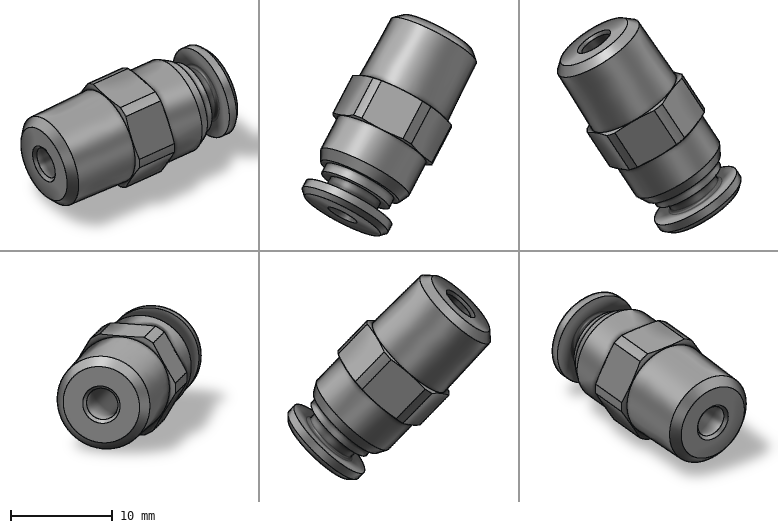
import cadquery as cq
import math

length = 20.5

thread_tip_radius = 3.9
thread_start_radius = 4.74
thread_root_radius = 4.9
thread_chamfer_length = 0.8

hex_start = 7.52
hex_end = 12.01
hex_across_flats = 10.0
hex_corner_diameter = 10.99
hex_edge_radius = 4.98
hex_edge_chamfer = 0.12

body_radius = 4.9
body_chamfer_start = 15.68
body_end = 16.73
body_end_radius = 4.35
collar_radius = 3.75
collar_end = 17.71

neck_radius = 2.77
neck_fillet = 0.29
flange_radius = 4.75
flange_start = 19.1
flange_chamfer_start = 19.97
flange_end_radius = 4.22

bore_radius = 1.6
bore_chamfer = 0.3


def revolve_about_y(points):
    """Solid of revolution from (radius, Y) points, closed along the Y axis."""
    outline = [(0, points[0][1])] + points + [(0, points[-1][1])]
    return cq.Workplane("XY").polyline(outline).close().revolve(360, (0, 0, 0), (0, 1, 0))


def make_turned_body():
    """Everything except the hexagon, with the neck blended into the flange."""
    turned = revolve_about_y([
        (thread_tip_radius, 0),
        (thread_start_radius, thread_chamfer_length),
        (thread_root_radius, hex_start),
        (body_radius, hex_end),
        (body_radius, body_chamfer_start),
        (body_end_radius, body_end),
        (collar_radius, body_end),
        (collar_radius, collar_end),
        (neck_radius, collar_end),
        (neck_radius, flange_start),
        (flange_radius, flange_start),
        (flange_radius, flange_chamfer_start),
        (flange_end_radius, length),
    ])
    reach = (neck_radius + collar_radius) / 2
    neck_middle = (collar_end + flange_start) / 2
    neck_root = cq.selectors.BoxSelector(
        (-reach, neck_middle, -reach),
        (reach, flange_chamfer_start, reach),
        boundingbox=True,
    )
    return turned.edges(neck_root).edges("%CIRCLE").fillet(neck_fillet)


def make_hexagon():
    """Hexagon with flats facing +Z and -Z and both ends chamfered."""
    across_corners = hex_across_flats / math.cos(math.radians(30))
    prism = (
        cq.Workplane("XZ", origin=(0, hex_start, 0))
        .polygon(6, across_corners)
        .extrude(hex_start - hex_end)
    )
    corner_radius = hex_corner_diameter / 2
    turned_envelope = revolve_about_y([
        (hex_edge_radius, hex_start),
        (corner_radius, hex_start + hex_edge_chamfer),
        (corner_radius, hex_end - hex_edge_chamfer),
        (hex_edge_radius, hex_end),
    ])
    return prism.intersect(turned_envelope)


def make_bore():
    return revolve_about_y([
        (bore_radius + bore_chamfer, 0),
        (bore_radius, bore_chamfer),
        (bore_radius, length),
    ])


result = make_turned_body().union(make_hexagon()).cut(make_bore())